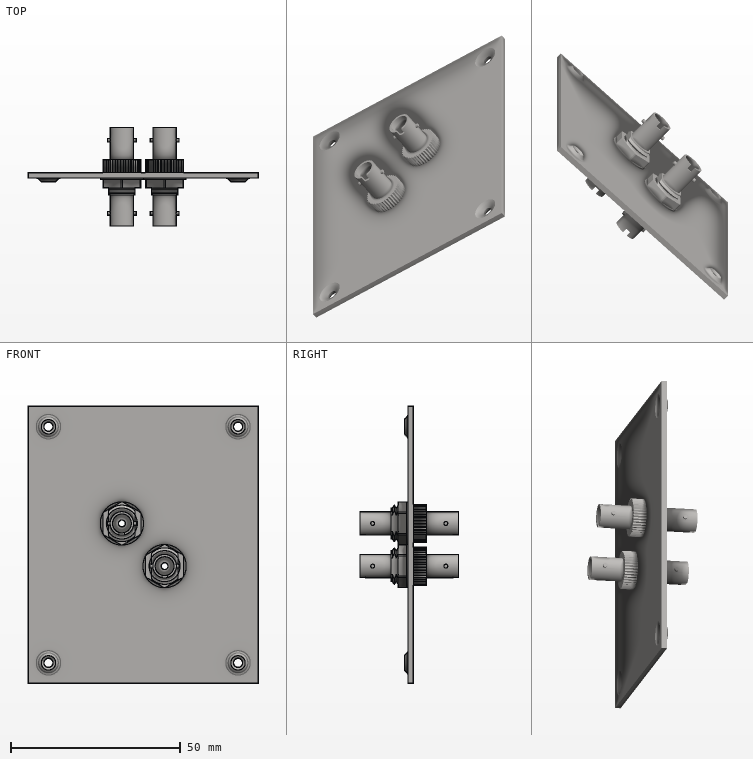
import cadquery as cq
import math


PANEL_WIDTH = 68.1
PANEL_HEIGHT = 82.0
PANEL_THICKNESS = 1.6
PANEL_FRONT_Y = -0.4
PANEL_BACK_Y = PANEL_FRONT_Y + PANEL_THICKNESS

DIMPLE_SPACING_X = 56.1
DIMPLE_SPACING_Z = 69.9
DIMPLE_BASE_RADIUS = 3.6
DIMPLE_RIM_RADIUS = 2.1
DIMPLE_BLEND_RADIUS = 1.0
DIMPLE_HOLE_RADIUS = 1.3
BACK_RECESS_DEPTH = 1.15

CONNECTOR_CENTERS = [(-6.3, 6.3), (6.3, -6.3)]
CONNECTOR_LENGTH = 29.2
TIP_Y = CONNECTOR_LENGTH / 2
BARREL_DIAMETER = 7.0
BARREL_RADIUS = BARREL_DIAMETER / 2
SOCKET_RADIUS = 2.8
SOCKET_DEPTH = 9.3
CORE_HOLE_RADIUS = 1.0
KEYWAY_WIDTH = 1.6
KEYWAY_LENGTH = 1.6

LUG_RADIUS = 0.6
LUG_REACH = 4.3
LUG_Y = 10.8

FLANGE_BACK_Y = 5.1
KNURL_TIP_RADIUS = 5.7
KNURL_DEPTH = 0.3
KNURL_TEETH = 40

THREAD_ROOT_RADIUS = 4.6
THREAD_CREST_RADIUS = 5.4
THREAD_PITCH = 1.15
SHANK_FRONT_Y = -5.3
SHANK_FLAT_WIDTH = 7.8

WASHER_RADIUS = 6.4
WASHER_THICKNESS = 0.4
WASHER_FRONT_Y = PANEL_FRONT_Y - WASHER_THICKNESS
NUT_ACROSS_FLATS = 11.2
NUT_CORNER_DIAMETER = 12.7
NUT_THICKNESS = 2.5
NUT_FRONT_Y = WASHER_FRONT_Y - NUT_THICKNESS


def disc(radius, front_y, back_y):
    """Solid cylinder about the Y axis between two Y positions."""
    return cq.Workplane("XZ", origin=(0, back_y, 0)).circle(radius).extrude(back_y - front_y)


def at(body, center):
    """Move a body from the Y axis to an (x, z) position on the panel."""
    return body.translate((center[0], 0, center[1]))


def make_dimple():
    """Ring blended into the panel, rising at 45 degrees to a rim and falling back to the hole."""
    diagonal = math.sqrt(0.5)
    cone_radius = DIMPLE_BASE_RADIUS - DIMPLE_BLEND_RADIUS * diagonal
    cone_y = PANEL_FRONT_Y - DIMPLE_BLEND_RADIUS * (1 - diagonal)
    rim_y = cone_y - (cone_radius - DIMPLE_RIM_RADIUS)
    sink_y = rim_y + (DIMPLE_RIM_RADIUS - DIMPLE_HOLE_RADIUS)
    blend_middle = (
        DIMPLE_BASE_RADIUS - DIMPLE_BLEND_RADIUS * math.sin(math.pi / 8),
        PANEL_FRONT_Y - DIMPLE_BLEND_RADIUS * (1 - math.cos(math.pi / 8)),
    )
    return (
        cq.Workplane("XY")
        .moveTo(DIMPLE_BASE_RADIUS, PANEL_FRONT_Y)
        .threePointArc(blend_middle, (cone_radius, cone_y))
        .lineTo(DIMPLE_RIM_RADIUS, rim_y)
        .lineTo(DIMPLE_HOLE_RADIUS, sink_y)
        .lineTo(DIMPLE_HOLE_RADIUS, PANEL_FRONT_Y)
        .close()
        .revolve(360, (0, 0, 0), (0, 1, 0))
    )


def make_dimple_hole():
    """Hole through the panel, flared at the back to the width of the dimple's base."""
    return (
        cq.Workplane("XY")
        .moveTo(0, PANEL_FRONT_Y)
        .lineTo(DIMPLE_HOLE_RADIUS, PANEL_FRONT_Y)
        .lineTo(DIMPLE_HOLE_RADIUS, PANEL_BACK_Y - BACK_RECESS_DEPTH)
        .lineTo(DIMPLE_BASE_RADIUS, PANEL_BACK_Y)
        .lineTo(0, PANEL_BACK_Y)
        .close()
        .revolve(360, (0, 0, 0), (0, 1, 0))
    )


def make_panel():
    panel = (
        cq.Workplane("XZ", origin=(0, PANEL_BACK_Y, 0))
        .rect(PANEL_WIDTH, PANEL_HEIGHT)
        .extrude(PANEL_THICKNESS)
    )
    for x_side in (-1, 1):
        for z_side in (-1, 1):
            corner = (x_side * DIMPLE_SPACING_X / 2, z_side * DIMPLE_SPACING_Z / 2)
            panel = panel.cut(at(make_dimple_hole(), corner)).union(at(make_dimple(), corner))
    for center in CONNECTOR_CENTERS:
        panel = panel.cut(at(disc(THREAD_ROOT_RADIUS, PANEL_FRONT_Y, PANEL_BACK_Y), center))
    return panel


def make_shank():
    """Plain shank through panel, washer and nut, with exposed thread ahead of the nut."""
    outline = (
        cq.Workplane("XY")
        .moveTo(0, PANEL_BACK_Y)
        .lineTo(THREAD_ROOT_RADIUS, PANEL_BACK_Y)
        .lineTo(THREAD_ROOT_RADIUS, NUT_FRONT_Y)
        .lineTo(THREAD_CREST_RADIUS, NUT_FRONT_Y)
        .lineTo(THREAD_ROOT_RADIUS, NUT_FRONT_Y - THREAD_PITCH / 2)
        .lineTo(THREAD_CREST_RADIUS, NUT_FRONT_Y - THREAD_PITCH)
        .lineTo(THREAD_ROOT_RADIUS, NUT_FRONT_Y - 1.5 * THREAD_PITCH)
        .lineTo(THREAD_ROOT_RADIUS, SHANK_FRONT_Y)
        .lineTo(0, SHANK_FRONT_Y)
        .close()
    )
    shank = outline.revolve(360, (0, 0, 0), (0, 1, 0))
    between_flats = cq.Workplane("XY").box(SHANK_FLAT_WIDTH, CONNECTOR_LENGTH, 2 * THREAD_CREST_RADIUS)
    return shank.intersect(between_flats)


def make_knurled_flange():
    """Flange with V-shaped teeth around its rim."""
    points = []
    for i in range(2 * KNURL_TEETH):
        radius = KNURL_TIP_RADIUS - KNURL_DEPTH * (i % 2)
        angle = math.pi * i / KNURL_TEETH
        points.append((radius * math.cos(angle), radius * math.sin(angle)))
    return (
        cq.Workplane("XZ", origin=(0, FLANGE_BACK_Y, 0))
        .polyline(points)
        .close()
        .extrude(FLANGE_BACK_Y - PANEL_BACK_Y)
    )


def make_lugs(y):
    """Pair of bayonet lugs standing out of both sides of the barrel."""
    return (
        cq.Workplane("YZ", origin=(-LUG_REACH, y, 0))
        .circle(LUG_RADIUS)
        .extrude(2 * LUG_REACH)
    )


def make_keyway(end_y):
    """Slot through the lower barrel wall at one end."""
    slot = cq.Workplane("XY").box(KEYWAY_WIDTH, 2 * KEYWAY_LENGTH, 2 * BARREL_RADIUS)
    return slot.translate((0, end_y, -BARREL_RADIUS))


def make_connector():
    connector = disc(BARREL_RADIUS, -TIP_Y, TIP_Y).union(make_shank()).union(make_knurled_flange())
    for side in (-1, 1):
        connector = connector.union(make_lugs(side * LUG_Y))
    connector = connector.cut(disc(SOCKET_RADIUS, -TIP_Y, SOCKET_DEPTH - TIP_Y))
    connector = connector.cut(disc(SOCKET_RADIUS, TIP_Y - SOCKET_DEPTH, TIP_Y))
    connector = connector.cut(disc(CORE_HOLE_RADIUS, -TIP_Y, TIP_Y))
    for side in (-1, 1):
        connector = connector.cut(make_keyway(side * TIP_Y))
    return connector


def make_washer():
    washer = disc(WASHER_RADIUS, WASHER_FRONT_Y, PANEL_FRONT_Y)
    return washer.cut(disc(THREAD_ROOT_RADIUS, WASHER_FRONT_Y, PANEL_FRONT_Y))


def make_nut():
    """Hex nut with two flats facing +-X and its corners slightly turned down."""
    hexagon = (
        cq.Workplane("XZ", origin=(0, WASHER_FRONT_Y, 0))
        .polygon(6, NUT_ACROSS_FLATS, circumscribed=True)
        .extrude(NUT_THICKNESS)
    )
    nut = hexagon.intersect(disc(NUT_CORNER_DIAMETER / 2, NUT_FRONT_Y, WASHER_FRONT_Y))
    return nut.cut(disc(THREAD_ROOT_RADIUS, NUT_FRONT_Y, WASHER_FRONT_Y))


panel = make_panel()
connectors = [at(make_connector(), center) for center in CONNECTOR_CENTERS]
washers = [at(make_washer(), center) for center in CONNECTOR_CENTERS]
nuts = [at(make_nut(), center) for center in CONNECTOR_CENTERS]

result = cq.Compound.makeCompound(
    [panel.val()] + [body.val() for body in connectors + washers + nuts]
)